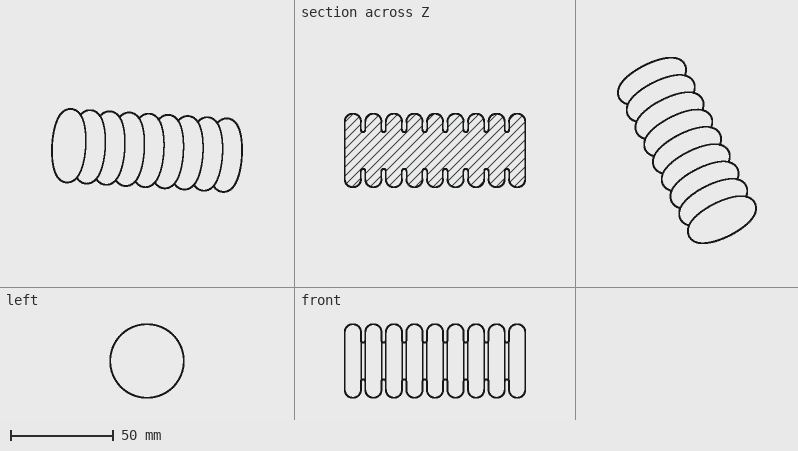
import cadquery as cq

total_length = 88
disc_count = 9
outer_radius = 36.0 / 2
core_radius = outer_radius / 2
disc_to_gap_ratio = 4
fillet_share = 0.99

gap_count = disc_count - 1
gap_width = total_length / (disc_count * disc_to_gap_ratio + gap_count)
disc_width = disc_to_gap_ratio * gap_width
pitch = disc_width + gap_width
rim_radius = disc_width / 2
rim_start = outer_radius - rim_radius
fillet_radius = fillet_share * gap_width / 2
fillet_start = core_radius + fillet_radius


def add_disc(profile, left):
    """Draw the half-round rim of a disc whose left face is at X = left."""
    right = left + disc_width
    profile = profile.lineTo(left, rim_start)
    return profile.threePointArc((left + rim_radius, outer_radius), (right, rim_start))


def add_groove(profile, left):
    """Draw a groove from X = left: two fillets with a narrow strip of core between them."""
    right = left + gap_width
    profile = profile.lineTo(left, fillet_start)
    profile = profile.tangentArcPoint((left + fillet_radius, core_radius), relative=False)
    profile = profile.lineTo(right - fillet_radius, core_radius)
    return profile.tangentArcPoint((right, fillet_start), relative=False)


left_end = -total_length / 2
right_end = total_length / 2
section = cq.Workplane("XZ").moveTo(left_end, 0)
for index in range(disc_count):
    disc_left = left_end + index * pitch
    section = add_disc(section, disc_left)
    if index < gap_count:
        section = add_groove(section, disc_left + disc_width)
section = section.lineTo(right_end, 0).close()

result = section.revolve(360, (0, 0, 0), (1, 0, 0))